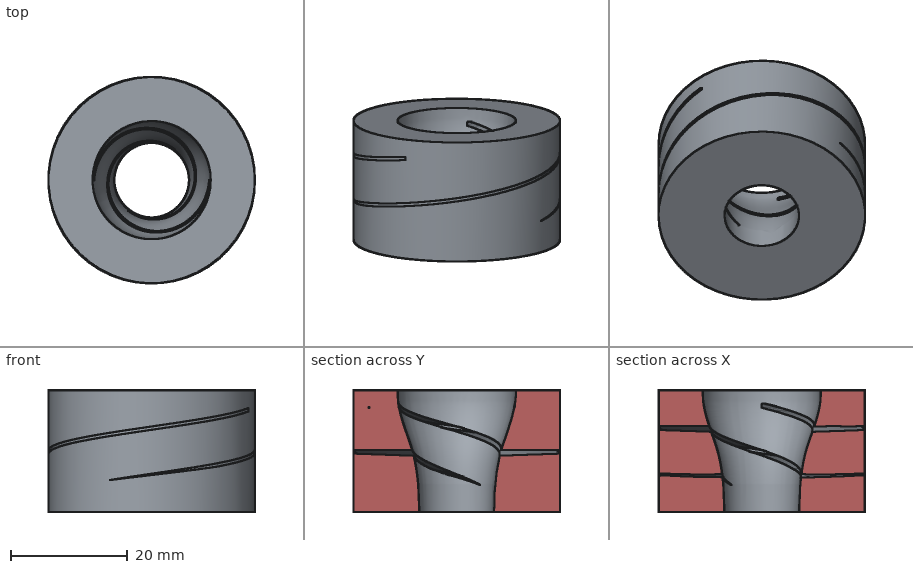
import cadquery as cq
import math

outer_radius = 17.715
height = 20.89

bore_top_radius = 10.13
bore_bottom_radius = 6.38
bore_mid_stations = [
    (2.2, 9.97),
    (6.6, 8.82),
    (10.4, 7.55),
    (14.5, 6.75),
]

slot_count = 2
slot_pitch = 16.19
slot_skin_height = 0.57
slot_root_height = 1.0
slot_feather_height = 0.02
slot_end_fillet = 0.25
slot_outer_radius = 17.6
slot_inner_radius = 5.0
slot_start_angle = 66.0
slot_root_start_angle = 45.0
slot_full_angle = 130.0
slot_bore_end_angle = 359.0
slot_skin_end_angle = 340.6
slot_untrimmed_angle = 375.0
slot_start_roof_z = 5.50

trim_depth = 5.5
trim_size = 3 * outer_radius


def roof_z(angle):
    """Height of the slot roof at an angle in degrees."""
    return slot_start_roof_z + slot_pitch * (angle - slot_start_angle) / 360


def helix(radius, start, end, start_z, end_z):
    """Helical edge between two angles in degrees and two heights."""
    pitch = (end_z - start_z) * 360 / (end - start)
    wire = cq.Wire.makeHelix(pitch, end_z - start_z, radius)
    placed = wire.rotate(cq.Vector(0, 0, 0), cq.Vector(0, 0, 1), start)
    return placed.translate(cq.Vector(0, 0, start_z)).Edges()[0]


def edge_pair(radius, start, end, start_height, end_height):
    """Floor and roof edges of a slot at one radius."""
    floor = helix(radius, start, end, roof_z(start) - start_height, roof_z(end) - end_height)
    roof = helix(radius, start, end, roof_z(start), roof_z(end))
    return floor, roof


def slot_segment(root_edges, skin_edges):
    """Helical wedge with ruled faces between the inner and outer edge pairs."""
    root_floor, root_roof = root_edges
    skin_floor, skin_roof = skin_edges
    loop = [root_floor, skin_floor, skin_roof, root_roof]
    sides = [cq.Face.makeRuledSurface(loop[i - 1], loop[i]) for i in range(len(loop))]

    def end_cap(fraction):
        """Face across the edges, at 0 for the lower end or 1 for the upper end."""
        corners = [edge.positionAt(fraction) for edge in loop]
        outline = cq.Wire.makePolygon(corners, close=True)
        return cq.Face.makeNSidedSurface(outline.Edges(), [])

    shell = cq.Shell.makeShell(sides + [end_cap(0), end_cap(1)])
    return cq.Workplane(cq.Solid.makeSolid(shell))


def polar_point(radius, angle):
    """Point in the XY plane at an angle in degrees."""
    radians = math.radians(angle)
    return cq.Vector(radius * math.cos(radians), radius * math.sin(radians), 0)


def slot_end_trim():
    """Block whose side face is the slanted upper end of the slot."""
    skin_end = polar_point(slot_outer_radius, slot_skin_end_angle)
    bore_end = polar_point(bore_top_radius, slot_bore_end_angle)
    along = bore_end - skin_end
    end_plane = cq.Plane(
        origin=(skin_end.x, skin_end.y, height - trim_depth),
        xDir=(along.x, along.y, 0),
        normal=(0, 0, 1),
    )
    block = cq.Workplane(end_plane).rect(trim_size, trim_size).extrude(trim_depth)
    return block.translate(end_plane.yDir * (-trim_size / 2))


def lower_run():
    """Stretch of slot that grows from a feather edge to full height."""
    heights_root = (slot_feather_height, slot_root_height)
    heights_skin = (slot_feather_height, slot_skin_height)
    return slot_segment(
        edge_pair(slot_inner_radius, slot_root_start_angle, slot_full_angle, *heights_root),
        edge_pair(slot_outer_radius, slot_start_angle, slot_full_angle, *heights_skin),
    )


def upper_run():
    """Full-height stretch of slot with a slanted, rounded upper end."""
    span = (slot_full_angle, slot_untrimmed_angle)
    full_run = slot_segment(
        edge_pair(slot_inner_radius, *span, slot_root_height, slot_root_height),
        edge_pair(slot_outer_radius, *span, slot_skin_height, slot_skin_height),
    )
    trimmed = full_run.cut(slot_end_trim()).solids().val()
    end_edges = cq.Workplane(trimmed).faces("%PLANE").edges().vals()
    long_edges = [edge for edge in end_edges if edge.Length() > slot_root_height]
    return cq.Workplane(trimmed.fillet(slot_end_fillet, long_edges))


def make_body():
    """Round bushing with a smoothly tapering bore."""
    stations = [(radius, height - depth) for depth, radius in bore_mid_stations]
    return (
        cq.Workplane("XZ")
        .moveTo(outer_radius, 0)
        .lineTo(outer_radius, height)
        .lineTo(bore_top_radius, height)
        .spline(stations + [(bore_bottom_radius, 0)], includeCurrent=True)
        .close()
        .revolve(360, (0, 0, 0), (0, 1, 0))
    )


body = make_body()
slot_runs = [lower_run(), upper_run()]
for index in range(slot_count):
    turn = index * 360 / slot_count
    for run in slot_runs:
        body = body.cut(run.rotate((0, 0, 0), (0, 0, 1), turn))
result = cq.Workplane(body.solids().val())